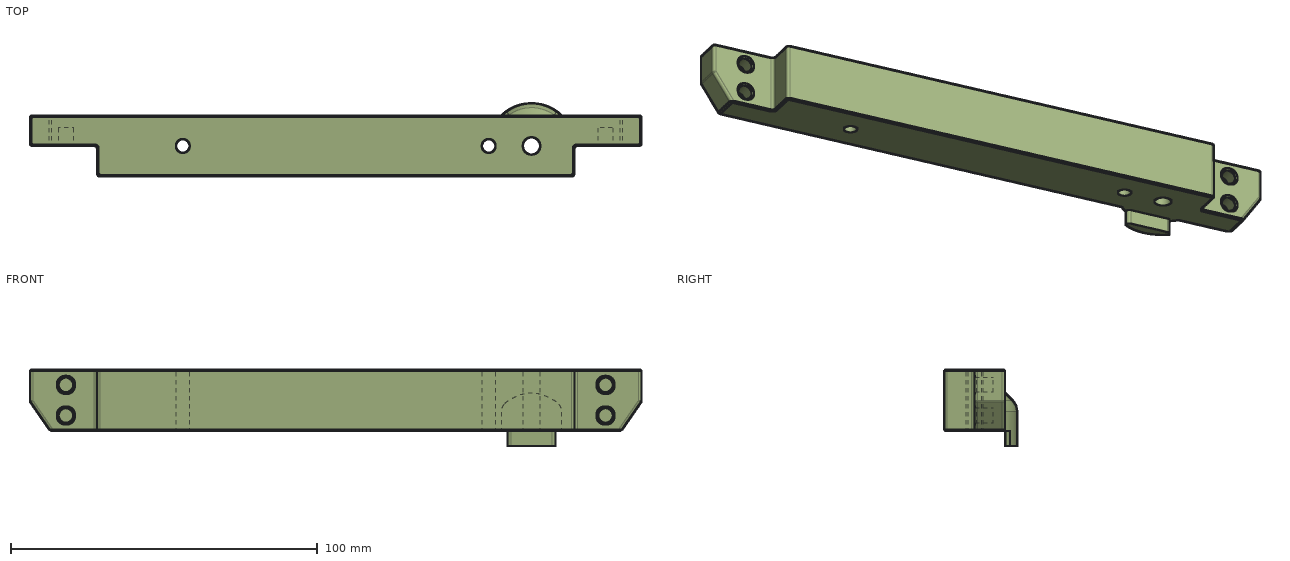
import cadquery as cq

LENGTH = 199.6
DEPTH = 20.0
HEIGHT = 20.0
BACK_Y = DEPTH / 2
BOTTOM_Z = -HEIGHT / 2
EDGE_RADIUS = 1.0
RIM_CHAMFER = 0.5

EAR_LENGTH = 22.0
EAR_FRONT_Y = 0.0
CORNER_CUT_X = 6.5
CORNER_CUT_Z = 9.5

EAR_HOLE_DIAMETER = 4.8
EAR_HOLE_CHAMFER = 0.5
EAR_HOLE_DEPTH = 6.0
EAR_HOLE_X = 88.0
EAR_HOLE_Z = 5.0

SMALL_HOLE_DIAMETER = 4.4
SMALL_HOLE_X = 49.9
PIVOT_DIAMETER = 5.5
PIVOT_X = 63.9

CATCH_RADIUS = 14.0
CATCH_SHOULDER_Z = -1.5
CATCH_CONE = CATCH_RADIUS - BACK_Y
CATCH_ROUND = 5.0

TAB_WIDTH = 15.8
TAB_DROP = 5.0
TAB_RADIUS = 1.2
TAB_OVERLAP = 5.0


def make_bar():
    """Bar with an ear at each end, the lower corners of the ears cut off and all edges broken."""
    half = LENGTH / 2
    step = half - EAR_LENGTH
    plan = [
        (-half, BACK_Y),
        (half, BACK_Y),
        (half, EAR_FRONT_Y),
        (step, EAR_FRONT_Y),
        (step, -DEPTH / 2),
        (-step, -DEPTH / 2),
        (-step, EAR_FRONT_Y),
        (-half, EAR_FRONT_Y),
    ]
    bar = cq.Workplane("XY", origin=(0, 0, BOTTOM_Z)).polyline(plan).close().extrude(HEIGHT)
    for side in (-1, 1):
        corner = [
            (side * half, BOTTOM_Z),
            (side * half, BOTTOM_Z + CORNER_CUT_Z),
            (side * (half - CORNER_CUT_X), BOTTOM_Z),
        ]
        bar = bar.cut(cq.Workplane("XZ").polyline(corner).close().extrude(DEPTH, both=True))
    bends = bar.faces("<X or >X").edges("|Y and <Z")
    bar = bends.fillet(EDGE_RADIUS)
    bar = bar.edges("|Z").fillet(EDGE_RADIUS)
    return bar.faces("<Z or >Z").edges().chamfer(RIM_CHAMFER)


def make_catch():
    """Disc with a coned and rounded top, and a tab along its back that reaches below the bar."""
    profile = [
        (0, BOTTOM_Z),
        (CATCH_RADIUS, BOTTOM_Z),
        (CATCH_RADIUS, CATCH_SHOULDER_Z),
        (CATCH_RADIUS - CATCH_CONE, CATCH_SHOULDER_Z + CATCH_CONE),
        (0, CATCH_SHOULDER_Z + CATCH_CONE),
    ]
    disc = cq.Workplane("XZ").polyline(profile).close().revolve(360, (0, 0), (0, 1))
    disc = disc.faces("%CONE").edges("<Z").fillet(CATCH_ROUND)
    disc = disc.intersect(
        cq.Workplane("XY").box(2 * CATCH_RADIUS, CATCH_RADIUS, HEIGHT, centered=(True, False, True))
    )

    tab_bottom = cq.Workplane("XY", origin=(0, 0, BOTTOM_Z - TAB_DROP))
    tab_height = TAB_DROP + TAB_OVERLAP
    tab_blank = (
        tab_bottom.center(0, BACK_Y + CATCH_CONE)
        .rect(TAB_WIDTH, 2 * CATCH_CONE)
        .extrude(tab_height)
        .edges("|Z and <Y")
        .fillet(TAB_RADIUS)
    )
    tab = tab_bottom.circle(CATCH_RADIUS).extrude(tab_height).intersect(tab_blank)
    return disc.union(tab).translate((PIVOT_X, 0, 0))


def ear_hole_cutters():
    """Flat-bottomed holes with a chamfered mouth, two in each ear."""
    places = [(x, z) for x in (-EAR_HOLE_X, EAR_HOLE_X) for z in (-EAR_HOLE_Z, EAR_HOLE_Z)]
    radius = EAR_HOLE_DIAMETER / 2
    profile = [
        (0, 0),
        (radius + EAR_HOLE_CHAMFER, 0),
        (radius, EAR_HOLE_CHAMFER),
        (radius, EAR_HOLE_DEPTH),
        (0, EAR_HOLE_DEPTH),
    ]
    cutters = cq.Workplane("XY")
    for x, z in places:
        cutter = cq.Workplane("XY").polyline(profile).close().revolve(360, (0, 0), (0, 1))
        cutters = cutters.add(cutter.translate((x, EAR_FRONT_Y, z)))
    return cutters.combine()


def vertical_hole(x, diameter):
    """Cutter for a hole through the full height of the bar."""
    return cq.Workplane("XY").center(x, 0).circle(diameter / 2).extrude(HEIGHT, both=True)


result = make_bar().union(make_catch()).cut(ear_hole_cutters())
for hole_x in (-SMALL_HOLE_X, SMALL_HOLE_X):
    result = result.cut(vertical_hole(hole_x, SMALL_HOLE_DIAMETER))
result = result.cut(vertical_hole(PIVOT_X, PIVOT_DIAMETER))